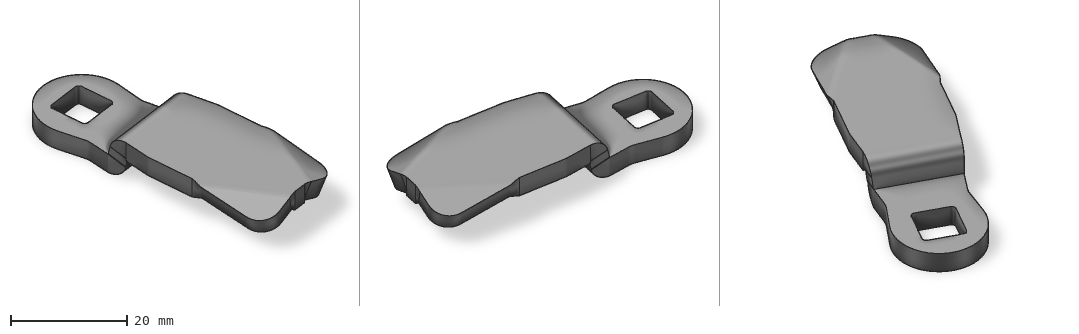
import cadquery as cq
import math

thickness = 4.0
total_height = 9.0
rise = total_height - thickness
joggle_angle = 75.0
joggle_start_x = 12.3

head_radius = 8.5
head_tangent_angle = math.radians(10)
neck_x = 7.35
shoulder_x = 22.3
plate_half_width = 9.55
tangent_x = head_radius * math.sin(head_tangent_angle)
tangent_y = head_radius * math.cos(head_tangent_angle)
neck_half_width = tangent_y - (neck_x - tangent_x) * math.tan(head_tangent_angle)
wing_root_x = 32.0
plate_end_x = 48.05
outline_blend_radius = 4.0
hole_side = 8.0
hole_corner_radius = 0.8

shoulder_slope = (plate_half_width - neck_half_width) / (shoulder_x - neck_x)
web_length = (
    rise - thickness + thickness * math.cos(math.radians(joggle_angle))
) / math.sin(math.radians(joggle_angle))
plate_start_x = (
    joggle_start_x
    + web_length * math.cos(math.radians(joggle_angle))
    + thickness * math.sin(math.radians(joggle_angle))
)
joggle_half_width = neck_half_width + shoulder_slope * (joggle_start_x - neck_x)
plate_start_half_width = neck_half_width + shoulder_slope * (plate_start_x - neck_x)
web_flare_length = 0.2
web_start_half_width = 8.2
web_end_half_width = 8.3

fold_angle = 27.0
fold_slope = math.tan(math.radians(fold_angle))
droop_angle = 23.0
wing_start = 1.75
wing_end = 17.45
wing_corner_length = 14.5
wing_depth = 6.7
wing_corner_radius = 4.0
sliver_angle = 0.5


def make_outline():
    """Plan shape of the head, neck and plate, ending at the two fold lines."""
    tip_y = plate_half_width - (plate_end_x - wing_root_x) * fold_slope
    upper_points = [
        (tangent_x, tangent_y),
        (neck_x, neck_half_width),
        (shoulder_x, plate_half_width),
        (wing_root_x, plate_half_width),
        (plate_end_x, tip_y),
    ]
    lower_points = [(x, -y) for x, y in reversed(upper_points)]
    outline = (
        cq.Workplane("XY")
        .polyline(upper_points + lower_points)
        .threePointArc((-head_radius, 0), (tangent_x, tangent_y))
        .close()
        .extrude(total_height)
    )
    for x in (neck_x, shoulder_x):
        corners = cq.selectors.BoxSelector(
            (x - 0.55, -2 * head_radius, 0), (x + 0.55, 2 * head_radius, total_height)
        )
        outline = outline.edges("|Z").edges(corners).fillet(outline_blend_radius)
    return outline


def sector_section(length, angle, radius=thickness):
    """Pie slice across a bend axis along X, opening from vertical toward +Y."""
    turn = math.radians(angle)
    return (
        cq.Workplane("YZ", origin=(length, 0, 0))
        .lineTo(0, radius)
        .threePointArc(
            (radius * math.sin(turn / 2), radius * math.cos(turn / 2)),
            (radius * math.sin(turn), radius * math.cos(turn)),
        )
        .close()
    )


def sector_end(tip_length, full_length, angle):
    """Bend end whose side face twists between the two flat stretches it joins."""
    oversize_radius = 2 * thickness
    wires = [
        sector_section(tip_length, sliver_angle, oversize_radius).wires().val(),
        sector_section(full_length, angle, oversize_radius).wires().val(),
    ]
    twisted = cq.Workplane(cq.Solid.makeLoft(wires, True))
    bend = sector_section(full_length, angle).extrude(tip_length - full_length)
    return bend.intersect(twisted)


def make_wing():
    """Fold and drooping wing on the +Y side."""
    fold_length = (plate_end_x - wing_root_x) / math.cos(math.radians(fold_angle))
    fold = sector_section(wing_start, droop_angle).extrude(wing_end - wing_start)
    fold = fold.union(sector_end(0, wing_start, droop_angle))
    fold = fold.union(sector_end(fold_length, wing_end, droop_angle))
    flap = (
        cq.Workplane("XY")
        .polyline([
            (wing_start, 0),
            (wing_end, 0),
            (wing_corner_length, wing_depth),
        ])
        .close()
        .extrude(thickness)
        .edges("|Z and >Y")
        .fillet(wing_corner_radius)
        .rotate((0, 0, 0), (1, 0, 0), -droop_angle)
    )
    return (
        fold.union(flap)
        .rotate((0, 0, 0), (0, 0, 1), -fold_angle)
        .translate((wing_root_x, plate_half_width, rise))
    )


def make_joggle():
    """Lower bend, web and upper bend joining the head to the raised plate."""
    cos_a = math.cos(math.radians(joggle_angle))
    sin_a = math.sin(math.radians(joggle_angle))
    lower_bend = (
        sector_section(-joggle_half_width, joggle_angle)
        .extrude(2 * joggle_half_width)
        .rotate((0, 0, 0), (0, 0, 1), 90)
        .mirror("XY")
        .mirror("YZ")
        .translate((joggle_start_x, 0, thickness))
    )

    web_plane = cq.Plane(
        origin=(joggle_start_x, 0, thickness),
        xDir=(cos_a, 0, sin_a),
        normal=(sin_a, 0, -cos_a),
    )
    web_side = [
        (0, joggle_half_width),
        (web_flare_length, web_start_half_width),
        (web_length, web_end_half_width),
    ]
    opposite_side = [(x, -y) for x, y in reversed(web_side)]
    web = cq.Workplane(web_plane).polyline(web_side + opposite_side).close().extrude(thickness)

    side = sector_end(plate_start_half_width, web_end_half_width, joggle_angle)
    upper_bend = (
        sector_section(-web_end_half_width, joggle_angle)
        .extrude(2 * web_end_half_width)
        .union(side)
        .union(side.mirror("YZ"))
        .rotate((0, 0, 0), (0, 0, 1), 90)
        .translate((plate_start_x, 0, rise))
    )
    return lower_bend.union(web).union(upper_bend)


def keep_between(solid, start_x, end_x, bottom_z):
    """One flat stretch of the strip, cut from the plan outline."""
    length = end_x - start_x
    stretch = cq.Workplane("XY").box(length, 4 * head_radius, thickness, centered=(False, True, False))
    return solid.intersect(stretch.translate((start_x, 0, bottom_z)))


outline = make_outline()
head = keep_between(outline, -head_radius, joggle_start_x, 0)
plate = keep_between(outline, plate_start_x, plate_end_x, rise)
wing = make_wing()
hole = (
    cq.Workplane("XY")
    .rect(hole_side, hole_side)
    .extrude(thickness)
    .edges("|Z")
    .fillet(hole_corner_radius)
)
result = head.union(make_joggle()).union(plate).union(wing).union(wing.mirror("XZ")).cut(hole)